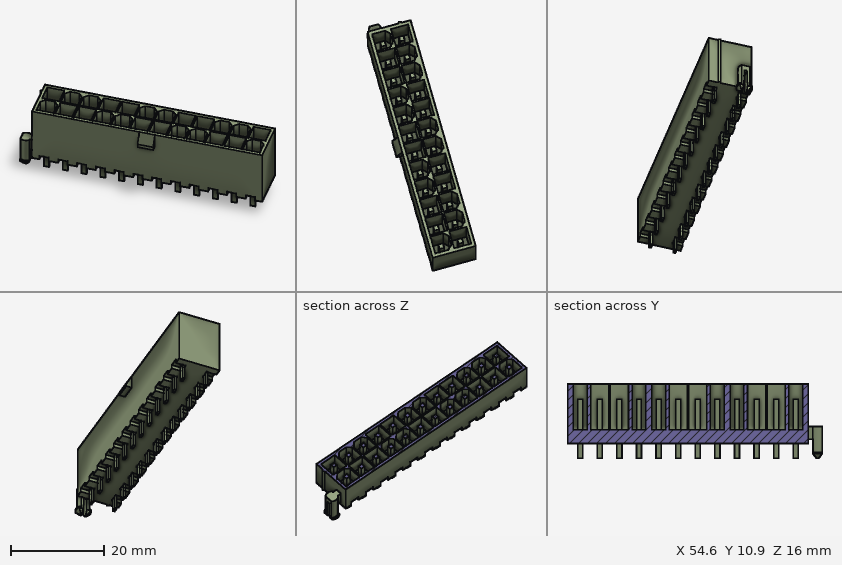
import cadquery as cq
import math

OVERALL_LENGTH = 54.55
COLUMNS = 12
PITCH = 4.2
CELL_SIZE = 3.8
END_WALL = 0.75
HEIGHT = 12.8
LENGTH = (COLUMNS - 1) * PITCH + CELL_SIZE + 2 * END_WALL
WIDTH = 9.6
LEFT_FACE = -LENGTH / 2
FRONT_FACE = -WIDTH / 2

CELL_FLOOR = 3.0
CELL_CHAMFER = 0.95
POST_SIZE = 1.05
POST_TOP = 9.55
TAIL_WIDTH = 1.15
TAIL_THICKNESS = 0.5
TAIL_LENGTH = 3.15
TAIL_ROW_OFFSET = 2.75

NOTCH_WIDTH = 2.1
NOTCH_HEIGHT = 0.95
NOTCH_DEPTH = WIDTH / 2 - TAIL_ROW_OFFSET + TAIL_THICKNESS / 2

LATCH_WIDTH = 3.5
LATCH_HEIGHT = 3.15
LATCH_LIP = 0.75
LATCH_REACH = 1.3

RIB_RADIUS = 0.35
RIB_Y = 2.4

PEG_RADIUS = 1.35
PEG_THICKNESS = 2.0
PEG_TOP = 3.7
PEG_Y = -2.55
PEG_X = LENGTH / 2 - OVERALL_LENGTH + PEG_THICKNESS / 2
NECK_WIDTH = 1.4
BARB_RADIUS = 1.7
BARB_TOP = -1.8
BARB_BOTTOM = -2.15
TIP_RADIUS = 0.7
TIP_THICKNESS = 0.45
SLOT_TOP = 2.35
SLOT_TOP_WIDTH = 0.55
SLOT_BOTTOM_WIDTH = 0.95

OVERLAP = 0.3


def block(x_size, y_size, z_low, z_high, x, y):
    """Upright box centred on (x, y) between two heights."""
    box = cq.Workplane("XY").box(x_size, y_size, z_high - z_low, centered=(True, True, False))
    return box.translate((x, y, z_low))


def column_x(column):
    return (column - (COLUMNS - 1) / 2) * PITCH


def cell(x, y, keyed):
    """Square cavity; keyed ones have their two rear corners cut off."""
    cavity = block(CELL_SIZE, CELL_SIZE, CELL_FLOOR, HEIGHT, x, y)
    if keyed:
        cavity = cavity.edges("|Z and >Y").chamfer(CELL_CHAMFER)
    return cavity


def latch():
    outline = [
        (FRONT_FACE + OVERLAP, HEIGHT),
        (FRONT_FACE, HEIGHT),
        (FRONT_FACE - LATCH_REACH, HEIGHT - LATCH_HEIGHT + LATCH_LIP),
        (FRONT_FACE - LATCH_REACH, HEIGHT - LATCH_HEIGHT),
        (FRONT_FACE + OVERLAP, HEIGHT - LATCH_HEIGHT),
    ]
    return cq.Workplane("YZ").polyline(outline).close().extrude(LATCH_WIDTH / 2, both=True)


def rib():
    """Round bar centred on the left face, so that half of it stands out."""
    return cq.Workplane("XY").center(LEFT_FACE, RIB_Y).circle(RIB_RADIUS).extrude(HEIGHT)


def flatted_circle(radius, thickness, z):
    """Circle at height z with its left and right sides cut flat."""
    x = thickness / 2
    y = math.sqrt(radius**2 - x**2)
    return (
        cq.Workplane("XY", origin=(0, 0, z))
        .moveTo(x, y)
        .threePointArc((0, radius), (-x, y))
        .lineTo(-x, -y)
        .threePointArc((0, -radius), (x, -y))
        .close()
    )


def peg():
    """Barbed peg with two flats, split into two legs and joined to the housing by a neck."""
    shank = flatted_circle(PEG_RADIUS, PEG_THICKNESS, BARB_TOP).extrude(PEG_TOP - BARB_TOP)
    rim = flatted_circle(BARB_RADIUS, PEG_THICKNESS, BARB_BOTTOM)
    barb = rim.extrude(BARB_TOP - BARB_BOTTOM)
    end = flatted_circle(TIP_RADIUS, TIP_THICKNESS, -TAIL_LENGTH)
    tip = cq.Workplane(cq.Solid.makeLoft([rim.val(), end.val()], True))
    slot_outline = [
        (-SLOT_TOP_WIDTH / 2, SLOT_TOP),
        (SLOT_TOP_WIDTH / 2, SLOT_TOP),
        (SLOT_BOTTOM_WIDTH / 2, -TAIL_LENGTH),
        (-SLOT_BOTTOM_WIDTH / 2, -TAIL_LENGTH),
    ]
    slot = cq.Workplane("YZ").polyline(slot_outline).close().extrude(PEG_THICKNESS, both=True)
    legs = shank.union(barb).union(tip).cut(slot).translate((PEG_X, PEG_Y, 0))

    neck_start = PEG_X + PEG_THICKNESS / 2 - OVERLAP
    neck_end = LEFT_FACE + OVERLAP
    neck_x = (neck_start + neck_end) / 2
    neck = block(neck_end - neck_start, NECK_WIDTH, NOTCH_HEIGHT, PEG_TOP, neck_x, PEG_Y)
    return legs.union(neck)


housing = block(LENGTH, WIDTH, 0, HEIGHT, 0, 0).union(latch()).union(rib())

cavities = []
contacts = []
for column in range(COLUMNS):
    x = column_x(column)
    rear_is_square = (column + 1) // 2 % 2 == 0
    for side in (-1, 1):
        keyed = rear_is_square == (side < 0)
        row_y = side * PITCH / 2
        tail_y = side * TAIL_ROW_OFFSET
        notch_y = side * (WIDTH - NOTCH_DEPTH) / 2
        cavities.append(cell(x, row_y, keyed))
        cavities.append(block(NOTCH_WIDTH, NOTCH_DEPTH, 0, NOTCH_HEIGHT, x, notch_y))
        contacts.append(block(POST_SIZE, POST_SIZE, CELL_FLOOR - OVERLAP, POST_TOP, x, row_y))
        tail_top = NOTCH_HEIGHT + OVERLAP
        contacts.append(block(TAIL_WIDTH, TAIL_THICKNESS, -TAIL_LENGTH, tail_top, x, tail_y))

result = housing.cut(cq.Workplane(cq.Compound.makeCompound([c.val() for c in cavities])))
result = result.union(peg())
for contact in contacts:
    result = result.union(contact)